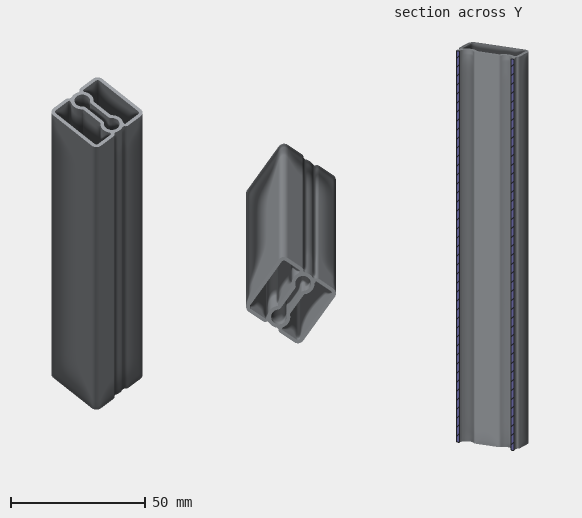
import cadquery as cq
import math

length = 152.4
side = 25.5
half_side = side / 2
wall = 1.4
corner_radius = 2.5
chamber_corner_radius = corner_radius - wall

tube_outer_radius = 4.3
tube_inner_radius = tube_outer_radius - wall
tube_center_x = 8.0
slot_half_width = 1.4
web_outer_y = slot_half_width + wall
chamber_floor_y = 3.5

lip_radius = 1.4
hollow_radius = 0.9
tube_tangent_y = 1.7

edge_margin = 0.2


def prism(width, y_low, y_high):
    """Full-length block centred on X between two Y positions."""
    return cq.Workplane("XY").box(width, y_high - y_low, length).translate((0, (y_low + y_high) / 2, length / 2))


def tube_cylinders(radius):
    """Pair of full-length cylinders on the tube axes."""
    centers = [(-tube_center_x, 0), (tube_center_x, 0)]
    return cq.Workplane("XY").pushPoints(centers).circle(radius).extrude(length)


def chamber():
    """Opening above the middle channel, with rounded outer corners."""
    block = prism(side - 2 * wall, web_outer_y, half_side - wall)
    block = block.edges("|Z and >Y").fillet(chamber_corner_radius)
    junction = prism(side, 0, chamber_floor_y).cut(prism(2 * tube_center_x, 0, chamber_floor_y))
    return block.cut(junction).cut(tube_cylinders(tube_outer_radius))


def side_groove():
    """Groove on the +X face whose bottom is the round tube wall."""
    angle = math.asin(tube_tangent_y / tube_outer_radius)
    tangent_x = tube_center_x + tube_outer_radius * math.cos(angle)
    hollow_x = tube_center_x + (tube_outer_radius + hollow_radius) * math.cos(angle)
    hollow_y = (tube_outer_radius + hollow_radius) * math.sin(angle)

    lip_x = half_side - lip_radius
    radius_sum = lip_radius + hollow_radius
    lip_y = hollow_y + math.sqrt(radius_sum**2 - (hollow_x - lip_x) ** 2)
    touch_x = hollow_x + (lip_x - hollow_x) * hollow_radius / radius_sum
    touch_y = hollow_y + (lip_y - hollow_y) * hollow_radius / radius_sum

    lip_angle = math.atan2(touch_y - lip_y, touch_x - lip_x) / 2
    lip_mid = (lip_x + lip_radius * math.cos(lip_angle), lip_y + lip_radius * math.sin(lip_angle))
    touch_angle = math.atan2(touch_y - hollow_y, touch_x - hollow_x)
    hollow_angle = (touch_angle + math.pi + angle) / 2
    hollow_mid_x = hollow_x + hollow_radius * math.cos(hollow_angle)
    hollow_mid_y = hollow_y + hollow_radius * math.sin(hollow_angle)
    return (
        cq.Workplane("XY")
        .moveTo(half_side, lip_y)
        .threePointArc(lip_mid, (touch_x, touch_y))
        .threePointArc((hollow_mid_x, hollow_mid_y), (tangent_x, tube_tangent_y))
        .threePointArc((tube_center_x + tube_outer_radius, 0), (tangent_x, -tube_tangent_y))
        .threePointArc((hollow_mid_x, -hollow_mid_y), (touch_x, -touch_y))
        .threePointArc((lip_mid[0], -lip_mid[1]), (half_side, -lip_y))
        .close()
        .extrude(length)
    )


body = prism(side, -half_side, half_side).edges("|Z").fillet(corner_radius)

upper_chamber = chamber()
body = body.cut(upper_chamber).cut(upper_chamber.mirror("XZ"))

slot = prism(2 * tube_center_x, -slot_half_width, slot_half_width)
channel = tube_cylinders(tube_inner_radius).union(slot)
mouth_inset = math.sqrt(tube_inner_radius**2 - slot_half_width**2)
mouth_x = tube_center_x - mouth_inset
mouth_reach = mouth_x + edge_margin
mouth_box = cq.selectors.BoxSelector((-mouth_reach, -half_side, 0), (mouth_reach, half_side, length))
channel = channel.edges("|Z").edges(mouth_box).fillet(wall)
body = body.cut(channel)

groove = side_groove()
result = body.cut(groove).cut(groove.mirror("YZ"))